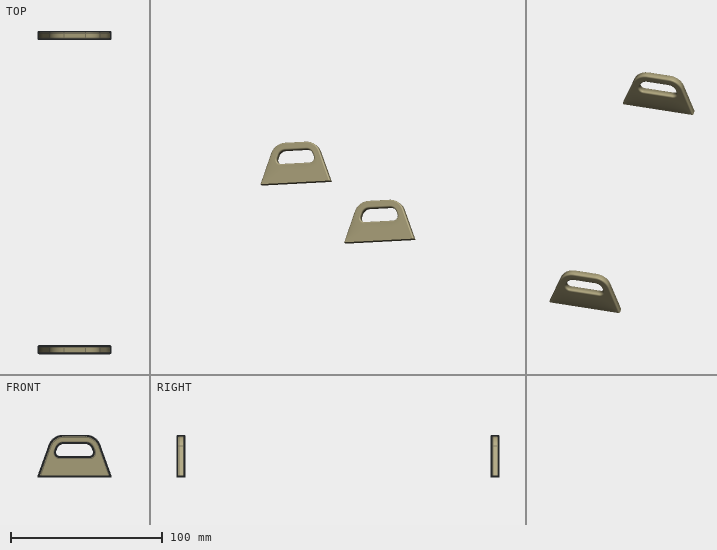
import cadquery as cq
import math

base_width = 47.83
height = 27.08
span_y = 211.73
thickness = 5.0

side_lean = math.radians(19.7)
shoulder_radius = 10.0
edge_radius = 1.0

bar_depth = 5.0
opening_floor = 13.0
opening_corner_radius = 3.0

shoulder_z = height - shoulder_radius
shoulder_x = (base_width / 2 - shoulder_z * math.tan(side_lean)
              - shoulder_radius / math.cos(side_lean))


def shoulder_point(radius, angle):
    """Point on the right-hand shoulder, angle measured up from horizontal."""
    return (shoulder_x + radius * math.cos(angle), shoulder_z + radius * math.sin(angle))


def mirrored(point):
    return (-point[0], point[1])


def arched_outline(radius, bottom_z):
    """Closed outline with a flat top, round shoulders and leaning sides down to bottom_z."""
    top = shoulder_point(radius, math.pi / 2)
    middle = shoulder_point(radius, (math.pi / 2 + side_lean) / 2)
    side = shoulder_point(radius, side_lean)
    bottom = (side[0] + (side[1] - bottom_z) * math.tan(side_lean), bottom_z)
    return (
        cq.Workplane("XZ")
        .moveTo(*mirrored(bottom))
        .lineTo(*mirrored(side))
        .threePointArc(mirrored(middle), mirrored(top))
        .lineTo(*top)
        .threePointArc(middle, side)
        .lineTo(*bottom)
        .close()
    )


def grip_plate(center_y):
    """Upright plate with a hand opening, rounded on every edge except around its flat base."""
    plate = arched_outline(shoulder_radius, 0).extrude(thickness / 2, both=True)
    opening = (
        arched_outline(shoulder_radius - bar_depth, opening_floor)
        .extrude(thickness, both=True)
        .edges("|Y and <Z")
        .fillet(opening_corner_radius)
    )
    plate = plate.cut(opening)
    face_edges = plate.faces("<Y or >Y").edges()
    base_edges = plate.faces("<Z").edges()
    plate = plate.newObject([e for e in face_edges.vals() if e not in base_edges.vals()])
    return plate.fillet(edge_radius).translate((0, center_y, 0))


outer_offset = (span_y - thickness) / 2
grips = [grip_plate(side * outer_offset) for side in (-1, 1)]

result = cq.Compound.makeCompound([grip.val() for grip in grips])